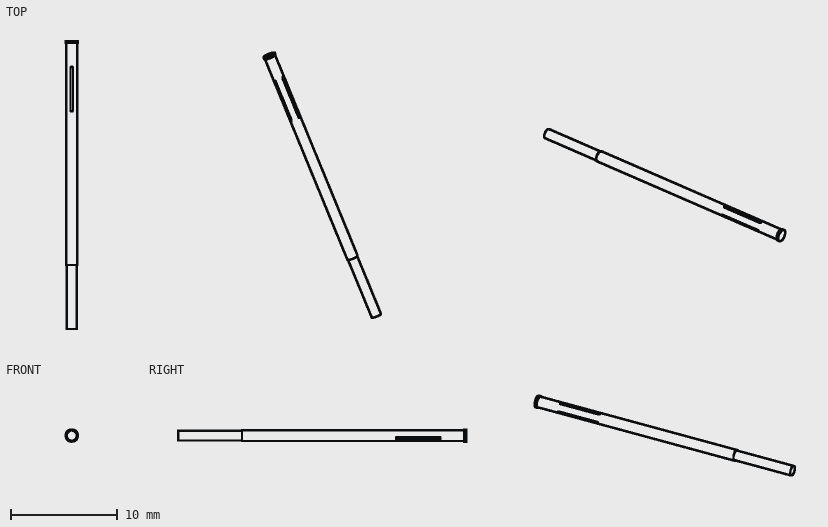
import cadquery as cq

total_length = 27.0
collar_diameter = 1.15
collar_length = 0.2
body_diameter = 1.05
wire_diameter = 0.95
wire_length = 6.0

slot_count = 3
slot_width = 0.2
slot_length = 4.2
slot_start = 2.4
slot_depth = 0.05

collar_end_y = total_length / 2
wire_end_y = -total_length / 2


def rod(diameter, start_y, length):
    """Cylinder on the Y axis running from start_y toward +Y."""
    base = cq.Workplane("XZ", origin=(0, start_y, 0))
    return base.circle(diameter / 2).extrude(-length)


def slot_cutter(angle):
    """Round-ended slot with a floor concentric with the body, turned about Y."""
    middle_y = collar_end_y - slot_start - slot_length / 2
    prism = (
        cq.Workplane("XY", origin=(0, middle_y, 0))
        .slot2D(slot_length, slot_width, 90)
        .extrude(body_diameter)
    )
    floor_diameter = body_diameter - 2 * slot_depth
    core = rod(floor_diameter, wire_end_y, total_length)
    return prism.cut(core).rotate((0, 0, 0), (0, 1, 0), angle)


wire = rod(wire_diameter, wire_end_y, wire_length)
body = rod(body_diameter, wire_end_y + wire_length, total_length - wire_length)
collar = rod(collar_diameter, collar_end_y - collar_length, collar_length)

result = wire.union(body).union(collar)
for index in range(slot_count):
    result = result.cut(slot_cutter(index * 360 / slot_count))